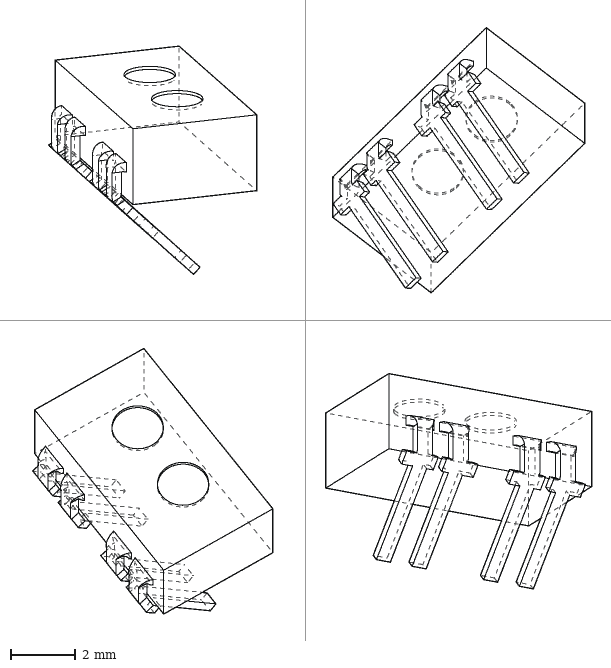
import cadquery as cq
import math


overall_depth = 4.5
overall_height = 5.29

body_width = 7.2
body_depth = 4.1
body_height = 2.49

window_diameter = 1.6
window_recess = 0.1
window_from_front = 2.3

lead_spacing = 1.27
window_offset = lead_spacing
pair_centres = (-1.5 * lead_spacing, 1.5 * lead_spacing)

thickness = 0.3
leg_width = 0.54
pin_width = 0.5
arm_top_below_body_top = 1.3
arm_bend_radius = 0.05
foot_angle = 45.0
foot_bend_radius = 0.01
leg_bottom_below_body_top = 2.46

arm_outer_half = 0.46
arm_inner_half = 0.53

shoulder_outer_half = 0.63
shoulder_inner_half = 0.48
shoulder_start_angle = 28.0
shoulder_length = 0.37

lead_reach = overall_depth - body_depth
arm_bend_outer = arm_bend_radius + thickness
stub_length = lead_reach - arm_bend_outer
arm_top = body_height - arm_top_below_body_top
leg_top = arm_top - arm_bend_outer
leg_bottom = body_height - leg_bottom_below_body_top
leg_back = thickness - lead_reach
foot_bend_outer = foot_bend_radius + thickness
foot_bend_y = leg_back + foot_bend_radius
foot_sin = math.sin(math.radians(foot_angle))
foot_drop = leg_bottom - foot_bend_outer * foot_sin - (body_height - overall_height)
foot_length = foot_drop / math.cos(math.radians(foot_angle))


def make_body():
    body = cq.Workplane("XY").box(body_width, body_depth, body_height, centered=(True, False, False))
    windows = (
        cq.Workplane("XY", origin=(0, 0, body_height))
        .pushPoints([(-window_offset, window_from_front), (window_offset, window_from_front)])
        .circle(window_diameter / 2)
        .extrude(-window_recess)
    )
    return body.cut(windows)


def foot_point(radius, angle, along=0.0):
    """(Y, Z) at a radius and angle of the lower bend, moved along the tangent there."""
    turn = math.radians(angle)
    y = foot_bend_y - radius * math.cos(turn) + along * math.sin(turn)
    z = leg_bottom - radius * math.sin(turn) - along * math.cos(turn)
    return (y, z)


def foot_strip(x_min, x_max, start_angle, length):
    """Strip from a start angle within the lower bend, ending a straight length below it."""
    middle_angle = (start_angle + foot_angle) / 2
    return (
        cq.Workplane("YZ", origin=(x_min, 0, 0))
        .moveTo(*foot_point(foot_bend_outer, start_angle))
        .threePointArc(foot_point(foot_bend_outer, middle_angle), foot_point(foot_bend_outer, foot_angle))
        .lineTo(*foot_point(foot_bend_outer, foot_angle, length))
        .lineTo(*foot_point(foot_bend_radius, foot_angle, length))
        .lineTo(*foot_point(foot_bend_radius, foot_angle))
        .threePointArc(foot_point(foot_bend_radius, middle_angle), foot_point(foot_bend_radius, start_angle))
        .close()
        .extrude(x_max - x_min)
    )


def make_arm():
    """Stub leaving the body and the bend below it, tapering evenly down to the leg width."""
    half_leg = leg_width / 2
    middle_radius = arm_bend_radius + thickness / 2
    bend_length = middle_radius * math.pi / 2
    stub_share = stub_length / (stub_length + bend_length)
    bend_outer_half = arm_outer_half + (half_leg - arm_outer_half) * stub_share
    bend_inner_half = arm_inner_half + (half_leg - arm_inner_half) * stub_share

    stub = (
        cq.Workplane("XY", origin=(0, 0, arm_top - thickness))
        .polyline([
            (-arm_outer_half, 0),
            (arm_inner_half, 0),
            (bend_inner_half, -stub_length),
            (-bend_outer_half, -stub_length),
        ])
        .close()
        .extrude(thickness)
    )

    bend_start_y = -stub_length
    bend_start_z = arm_top - thickness / 2
    bend_end_y = bend_start_y - middle_radius
    diagonal = middle_radius * math.sqrt(0.5)
    path = (
        cq.Workplane("YZ")
        .moveTo(bend_start_y, bend_start_z)
        .threePointArc((bend_start_y - diagonal, leg_top + diagonal), (bend_end_y, leg_top))
    )
    bend = (
        cq.Workplane("XZ", origin=(0, bend_start_y, bend_start_z))
        .center((bend_inner_half - bend_outer_half) / 2, 0)
        .rect(bend_outer_half + bend_inner_half, thickness)
        .copyWorkplane(cq.Workplane("XY", origin=(0, bend_end_y, leg_top)))
        .rect(leg_width, thickness)
        .sweep(path, multisection=True)
    )
    return stub.union(bend)


def make_lead():
    """Lead centred on X = 0, with the other lead of its pair on the +X side."""
    leg = (
        cq.Workplane("XY", origin=(0, -lead_reach, leg_bottom))
        .box(leg_width, thickness, leg_top - leg_bottom, centered=(True, False, False))
    )
    leg_bend = foot_strip(-leg_width / 2, leg_width / 2, 0.0, shoulder_length)
    shoulder = foot_strip(-shoulder_outer_half, shoulder_inner_half, shoulder_start_angle, shoulder_length)
    pin = foot_strip(-pin_width / 2, pin_width / 2, shoulder_start_angle, foot_length)
    return make_arm().union(leg).union(leg_bend).union(shoulder).union(pin)


lead = make_lead()
mirrored_lead = lead.mirror("YZ")

result = make_body()
for pair_centre in pair_centres:
    result = result.union(lead.translate((pair_centre - lead_spacing / 2, 0, 0)))
    result = result.union(mirrored_lead.translate((pair_centre + lead_spacing / 2, 0, 0)))